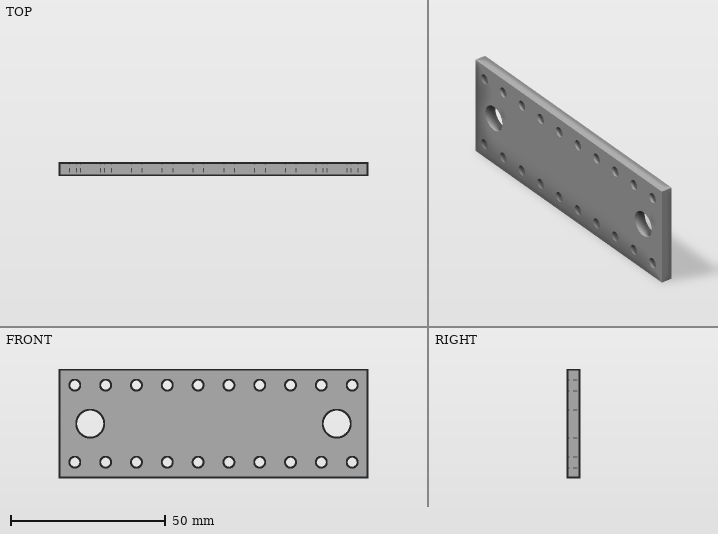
import cadquery as cq

length = 100.0
thickness = 4.0
height = 35.0

small_hole_diameter = 3.5
holes_per_row = 10
hole_pitch = length / holes_per_row
row_edge_distance = 5.0
row_spacing = height - 2 * row_edge_distance

large_hole_diameter = 9.0
large_hole_end_distance = 10.0
large_hole_spacing = length - 2 * large_hole_end_distance

plate = cq.Workplane("XZ").box(length, height, thickness)

plate = (
    plate.faces("<Y").workplane(origin=(0, 0, 0))
    .rarray(hole_pitch, row_spacing, holes_per_row, 2)
    .hole(small_hole_diameter)
)
result = (
    plate.faces("<Y").workplane(origin=(0, 0, 0))
    .rarray(large_hole_spacing, 1, 2, 1)
    .hole(large_hole_diameter)
)